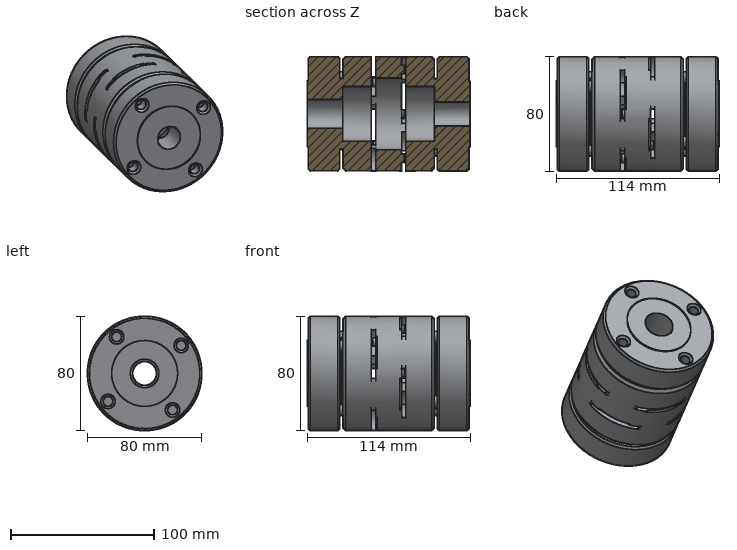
import cadquery as cq
import math


overall_length = 114.0
outer_radius = 80.0 / 2

hub_face_radius = 46.0 / 2
hub_face_height = 0.8
flange_inner_x = 34.0
flange_outer_x = overall_length / 2 - hub_face_height
flange_chamfer = 1.5
left_bore_radius = 20.0 / 2
right_bore_radius = 16.5 / 2

screw_count = 4
screw_circle_radius = 32.1
screw_angle = 37.4
shank_radius = 8.0 / 2
screw_hole_radius = 6.8 / 2
screw_mouth_radius = 10.0 / 2
screw_hole_depth = 11.4

sleeve_half_length = 32.0
sleeve_chamfer = 2.0
sleeve_bore_radius = 38.0 / 2
pilot_radius = 50.0 / 2
pilot_land = 0.8

slot_count = 4
slot_inner_x = 9.0
slot_width = 3.0
slot_outer_x = slot_inner_x + slot_width
slot_span = 45.0
pocket_radius = 9.5
pocket_circle_radius = 31.0
ring_chamfer = 1.1
pin_radius = 6.0 / 2
pin_height = 1.9


def yz_point(radius, angle):
    """Point in the YZ plane; the angle in degrees runs from -Y towards +Z."""
    return (-radius * math.cos(math.radians(angle)), radius * math.sin(math.radians(angle)))


def rod(x_start, x_end, radius, centre=(0, 0)):
    """Cylinder parallel to the X axis."""
    return cq.Workplane("YZ", origin=(x_start, 0, 0)).center(*centre).circle(radius).extrude(x_end - x_start)


def around_x(body, count):
    """The body repeated at equal steps around the X axis."""
    copies = body
    for i in range(1, count):
        copies = copies.union(body.rotate((0, 0, 0), (1, 0, 0), 360 * i / count))
    return copies


def on_right_side(body):
    """The body of the left side turned half a turn about Z, onto the right side."""
    return body.rotate((0, 0, 0), (0, 0, 1), 180)


def make_pilot_groove():
    """V groove around the left pilot, from the end of its plain land to the sleeve."""
    groove_start = -flange_inner_x + pilot_land
    groove_depth = (-sleeve_half_length - groove_start) / 2
    return (
        cq.Workplane("XY")
        .moveTo(groove_start, pilot_radius)
        .lineTo(groove_start + groove_depth, pilot_radius - groove_depth)
        .lineTo(-sleeve_half_length, pilot_radius)
        .close()
        .revolve(360, (0, 0, 0), (1, 0, 0))
    )


def make_left_flange(bore_radius):
    """Chamfered flange with its raised hub face, grooved pilot, bore, screw holes and screw shanks."""
    flange = rod(-flange_outer_x, -flange_inner_x, outer_radius).edges().chamfer(flange_chamfer)
    flange = flange.union(rod(-overall_length / 2, -flange_outer_x, hub_face_radius))
    flange = flange.union(rod(-flange_inner_x, -sleeve_half_length, pilot_radius)).cut(make_pilot_groove())
    flange = flange.cut(rod(-overall_length / 2, -sleeve_half_length, bore_radius))

    screw_centre = yz_point(screw_circle_radius, screw_angle)
    shank = rod(-flange_inner_x, -sleeve_half_length, shank_radius, screw_centre)
    hole = rod(-flange_outer_x, -flange_outer_x + screw_hole_depth, screw_hole_radius, screw_centre)
    mouth_depth = screw_mouth_radius - screw_hole_radius
    mouth = cq.Workplane(
        cq.Solid.makeCone(
            screw_mouth_radius,
            screw_hole_radius,
            mouth_depth,
            cq.Vector(-flange_outer_x, *screw_centre),
            cq.Vector(1, 0, 0),
        )
    )
    return flange.union(around_x(shank, screw_count)).cut(around_x(hole.union(mouth), screw_count))


def make_sector():
    """Solid sector between the two pocket centres of one slot, longer than the slot is wide."""
    reach = 2 * outer_radius
    points = [(0, 0), yz_point(reach, 0), yz_point(reach, slot_span)]
    return cq.Workplane("YZ", origin=(-slot_outer_x, 0, 0)).polyline(points).close().extrude(slot_outer_x)


def make_left_slots():
    """Slots with a round pocket at each end, and the ring chamfer between the pockets."""
    pockets = cq.Workplane("YZ")
    for angle in (0, slot_span):
        pockets = pockets.add(rod(-slot_outer_x, 0, pocket_radius, yz_point(pocket_circle_radius, angle)))
    pockets = pockets.combine()
    sector = make_sector()
    slot = sector.union(pockets).intersect(rod(-slot_outer_x, -slot_inner_x, 2 * outer_radius))

    bevel = (
        cq.Workplane("XY")
        .moveTo(-slot_inner_x, outer_radius - ring_chamfer)
        .lineTo(-slot_inner_x, outer_radius + ring_chamfer)
        .lineTo(-slot_inner_x + 2 * ring_chamfer, outer_radius + ring_chamfer)
        .close()
        .revolve(360, (0, 0, 0), (1, 0, 0))
        .intersect(sector)
        .cut(pockets)
    )
    return around_x(slot.union(bevel), slot_count)


def make_left_pins(angle):
    """Pins standing on the central ring, each in the slot pocket at the given angle."""
    pin_centre = yz_point(pocket_circle_radius, angle)
    return around_x(rod(-slot_inner_x - pin_height, -slot_inner_x, pin_radius, pin_centre), slot_count)


def make_sleeve():
    """Chamfered sleeve with a through bore, a wider chamber, slots and pins."""
    sleeve = rod(-sleeve_half_length, sleeve_half_length, outer_radius).edges().chamfer(sleeve_chamfer)
    sleeve = sleeve.cut(rod(-sleeve_half_length, sleeve_half_length, sleeve_bore_radius))
    sleeve = sleeve.cut(rod(-slot_outer_x, slot_outer_x, pilot_radius))
    slots = make_left_slots()
    sleeve = sleeve.cut(slots).cut(on_right_side(slots))
    return sleeve.union(make_left_pins(slot_span)).union(on_right_side(make_left_pins(0)))


result = (
    make_sleeve()
    .union(make_left_flange(left_bore_radius))
    .union(on_right_side(make_left_flange(right_bore_radius)))
)